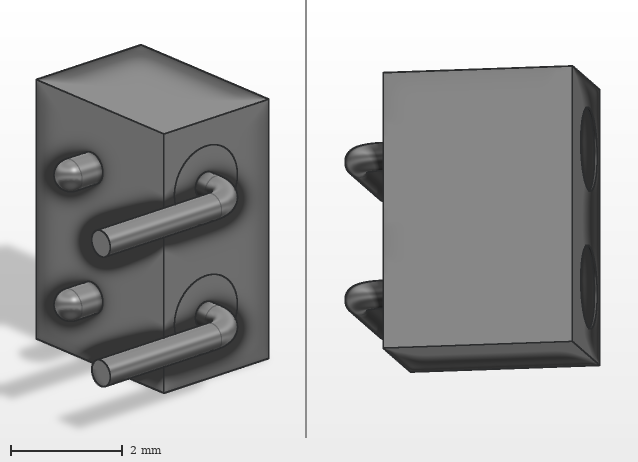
import cadquery as cq

housing_length = 3.45
housing_depth = 2.5
housing_height = 5.0

contact_count = 2
contact_pitch = housing_height / contact_count
contact_y = 1.0
contact_heights = [(i - (contact_count - 1) / 2) * contact_pitch for i in range(contact_count)]

barrel_diameter = 1.5
barrel_recess = 0.05

lead_diameter = 0.5
lead_stub = 0.25
bend_radius = 0.6
lead_reach = 2.25

peg_diameter = 0.6
peg_length = 0.8
peg_x = 1.5


def make_peg(z):
    """Locating peg pointing along -Y, rooted on the front face at height z."""
    peg_radius = peg_diameter / 2
    shank_length = peg_length - peg_radius
    profile = (
        cq.Workplane("XY")
        .moveTo(0, 0)
        .lineTo(peg_radius, 0)
        .lineTo(peg_radius, -shank_length)
        .radiusArc((0, -peg_length), peg_radius)
        .close()
    )
    peg = profile.revolve(360, (0, 0, 0), (0, 1, 0))
    return peg.translate((peg_x, 0, z))


def make_barrel_bore(z):
    """Cylinder that clears the straight bore through the housing at height z."""
    return (
        cq.Workplane("YZ", origin=(0, contact_y, z))
        .circle(barrel_diameter / 2)
        .extrude(housing_length)
    )


def make_housing():
    """Block with a bore for each contact and a peg beside each bore."""
    housing = cq.Workplane("XY").box(
        housing_length, housing_depth, housing_height, centered=(False, False, True)
    )
    for z in contact_heights:
        housing = housing.cut(make_barrel_bore(z)).union(make_peg(z))
    return housing


def make_contact(z):
    """Barrel that fills the bore up to the right face, with its bent lead."""
    barrel = (
        cq.Workplane("YZ", origin=(barrel_recess, contact_y, z))
        .circle(barrel_diameter / 2)
        .extrude(housing_length - barrel_recess)
    )
    bend_start_x = housing_length + lead_stub
    bend_end = (bend_start_x + bend_radius, contact_y - bend_radius)
    path = (
        cq.Workplane("XY", origin=(0, 0, z))
        .moveTo(housing_length, contact_y)
        .lineTo(bend_start_x, contact_y)
        .radiusArc(bend_end, bend_radius)
        .lineTo(bend_end[0], -lead_reach)
    )
    lead = (
        cq.Workplane("YZ", origin=(housing_length, contact_y, z))
        .circle(lead_diameter / 2)
        .sweep(path)
    )
    return barrel.union(lead)


housing = make_housing()
contacts = [make_contact(z) for z in contact_heights]

bodies = [housing, *contacts]
result = cq.Compound.makeCompound([body.solids().val() for body in bodies])